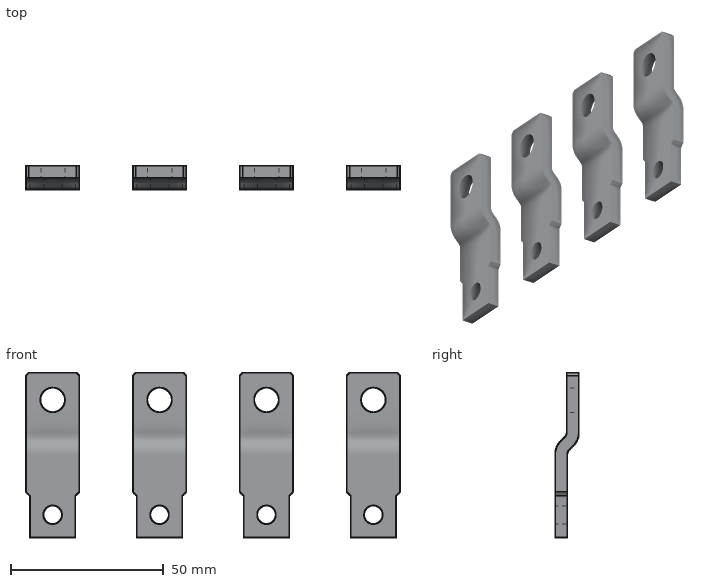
import cadquery as cq
import math

strap_count = 4
row_length = 122.5
strap_width = 17.5
strap_pitch = (row_length - strap_width) / (strap_count - 1)

strap_height = 54.0
strap_depth = 7.8
thickness = 4.0
bend_angle = math.radians(45)
inner_radius = 2.1
outer_radius = inner_radius + thickness
bend_top_drop = 19.6

top_chamfer = 1.0
tongue_width = 15.0
shoulder_height = 15.0
shoulder_drop = (strap_width - tongue_width) / 2

large_hole_diameter = 8.0
large_hole_drop = 9.0
small_hole_diameter = 6.0
small_hole_height = 7.5


def arc_point(center, radius, angle):
    """Point (y, z) on a circle, with the angle measured from +Y."""
    return (center[0] + radius * math.cos(angle), center[1] + radius * math.sin(angle))


def make_bent_bar():
    """Full-width bar with concentric bends, extruded along X and centred on X = 0."""
    offset = strap_depth - thickness
    bend_rise = (inner_radius + outer_radius) * (1 - math.cos(bend_angle))
    straight_offset = offset - bend_rise
    straight_drop = straight_offset / math.tan(bend_angle)
    bend_height = (inner_radius + outer_radius) * math.sin(bend_angle) + straight_drop

    bend_top = strap_height - bend_top_drop
    bend_bottom = bend_top - bend_height
    upper_center = (offset - inner_radius, bend_top)
    lower_center = (outer_radius, bend_bottom)

    upper_mid, upper_end = -bend_angle / 2, -bend_angle
    lower_mid, lower_end = math.pi + upper_mid, math.pi + upper_end

    return (
        cq.Workplane("YZ")
        .moveTo(0, 0)
        .lineTo(0, bend_bottom)
        .threePointArc(
            arc_point(lower_center, outer_radius, lower_mid),
            arc_point(lower_center, outer_radius, lower_end),
        )
        .lineTo(*arc_point(upper_center, inner_radius, upper_end))
        .threePointArc(
            arc_point(upper_center, inner_radius, upper_mid),
            (offset, bend_top),
        )
        .lineTo(offset, strap_height)
        .lineTo(strap_depth, strap_height)
        .lineTo(strap_depth, bend_top)
        .threePointArc(
            arc_point(upper_center, outer_radius, upper_mid),
            arc_point(upper_center, outer_radius, upper_end),
        )
        .lineTo(*arc_point(lower_center, inner_radius, lower_end))
        .threePointArc(
            arc_point(lower_center, inner_radius, lower_mid),
            (thickness, bend_bottom),
        )
        .lineTo(thickness, 0)
        .close()
        .extrude(strap_width / 2, both=True)
    )


def make_face_outline():
    """Prism of the strap face: chamfered top, sloping shoulders and narrow tongue."""
    half_width = strap_width / 2
    half_tongue = tongue_width / 2
    right_side = [
        (half_tongue, 0),
        (half_tongue, shoulder_height - shoulder_drop),
        (half_width, shoulder_height),
        (half_width, strap_height - top_chamfer),
        (half_width - top_chamfer, strap_height),
    ]
    left_side = [(-x, z) for x, z in reversed(right_side)]
    return cq.Workplane("XZ").polyline(right_side + left_side).close().extrude(-strap_depth)


def make_hole(diameter, height):
    """Cylinder along Y that cuts a bolt hole on the strap's centre line."""
    return cq.Workplane("XZ").center(0, height).circle(diameter / 2).extrude(-strap_depth)


def make_strap():
    """One offset strap, centred on X = 0 and standing on Z = 0."""
    return (
        make_bent_bar()
        .intersect(make_face_outline())
        .cut(make_hole(large_hole_diameter, strap_height - large_hole_drop))
        .cut(make_hole(small_hole_diameter, small_hole_height))
    )


straps = []
for index in range(strap_count):
    strap_x = strap_width / 2 + index * strap_pitch
    straps.append(make_strap().translate((strap_x, 0, 0)).solids().val())

result = cq.Compound.makeCompound(straps)